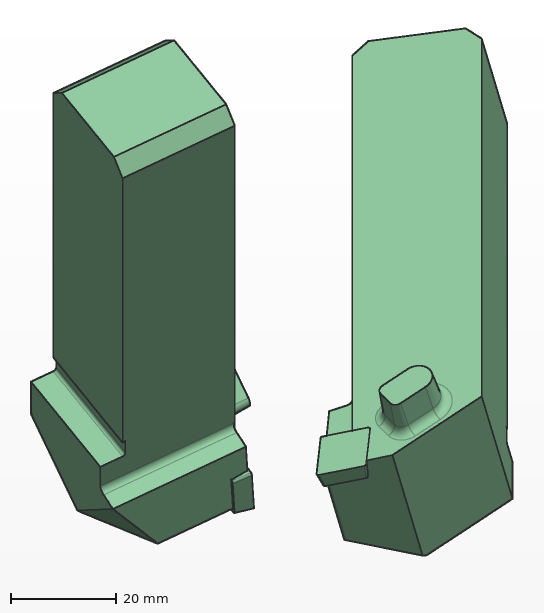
import cadquery as cq
import math


total_height = 108.0
shank_width = 25.0
shank_depth = 25.0
head_depth = 30.0
top_chamfer = 3.1

groove_top = 27.9
groove_bottom = 23.9
groove_depth = 0.6
groove_fillet = 0.6

slope_start_z = 14.5
heel_x = 17.3
heel_z = 2.6
brow_x = 29.6
brow_z = 16.1
brow_slope = 14.0
brow_fillet = 1.5
seat_corner_x = 30.8
seat_corner_z = 1.2
seat_corner_radius = 0.3
bevel_corner_depth = 20.5
overhang_recess = 0.3
bevel_start_x = 16.7

boss_height = 7.6
boss_arc_x = 11.1
boss_arc_z = 14.5
boss_radius = 3.7
boss_length = 7.9
boss_corner_radius = 2.0
boss_taper = 4.5
boss_root_fillet = 1.8

insert_reach = 32.0
insert_inscribed = 9.5
insert_corner_angle = 80.0
insert_thickness = 4.0
insert_clearance = 7.0
insert_nose_radius = 0.4


def make_shank_and_head():
    """Extruded side outline with the front stepped back above the head."""
    brow_root_z = brow_z + (brow_x - shank_width) * math.tan(math.radians(brow_slope))
    outline = [
        (0, slope_start_z),
        (heel_x, heel_z),
        (seat_corner_x, seat_corner_z),
        (brow_x, brow_z),
        (shank_width, brow_root_z),
        (shank_width, total_height),
        (0, total_height),
    ]
    body = cq.Workplane("XZ").polyline(outline).close().extrude(head_depth)
    body = body.edges("|Y and >Z").chamfer(top_chamfer)
    brow_root = (shank_width, -head_depth / 2, brow_root_z)
    body = body.edges(cq.NearestToPointSelector(brow_root)).fillet(brow_fillet)
    seat_corner = (seat_corner_x, -head_depth / 2, seat_corner_z)
    body = body.edges(cq.NearestToPointSelector(seat_corner)).fillet(seat_corner_radius)
    return body.cut(make_front_step())


def make_front_step():
    """Space in front of the shank, including the relief groove, right across X."""
    groove_y = groove_depth - shank_depth
    step = (
        cq.Workplane("YZ")
        .moveTo(-head_depth, groove_bottom)
        .lineTo(groove_y - groove_fillet, groove_bottom)
        .radiusArc((groove_y, groove_bottom + groove_fillet), -groove_fillet)
        .lineTo(groove_y, groove_top)
        .lineTo(-shank_depth, groove_top)
        .lineTo(-shank_depth, total_height)
        .lineTo(-head_depth, total_height)
        .close()
    )
    return step.extrude(shank_width)


def make_front_bevel():
    """Wedge cut from the head front by a plane that runs from its front edge back to the seat corner."""
    underside_slope = (heel_z - slope_start_z) / heel_x
    bevel_start_z = slope_start_z + underside_slope * bevel_start_x
    along_x = brow_x - bevel_start_x
    along_z = brow_z - bevel_start_z
    line_length = math.hypot(along_x, along_z)
    corner_x = seat_corner_x - bevel_start_x
    corner_z = seat_corner_z - bevel_start_z
    bevel_width = (corner_x * along_z - corner_z * along_x) / line_length
    bevel_drop = head_depth - bevel_corner_depth
    section_plane = cq.Plane(
        origin=(bevel_start_x, -head_depth, bevel_start_z),
        xDir=(along_z, 0, -along_x),
        normal=(along_x, 0, along_z),
    )
    overrun = 2
    section_width = overrun * bevel_width
    section = [(0, 0), (section_width, overrun * bevel_drop), (section_width, 0)]
    return cq.Workplane(section_plane).polyline(section).close().extrude(line_length, both=True)


def make_overhang_recess():
    """Shallow step in the back plane over the part of the head beyond the shank."""
    recess_width = insert_reach - shank_width
    recess = cq.Workplane("XY").box(recess_width, overhang_recess, total_height, centered=False)
    return recess.translate((shank_width, -overhang_recess, 0))


def make_boss():
    """Tapered boss, round at one end and blunt at the other, parallel to the sloped underside."""
    slope = (heel_x, 0, heel_z - slope_start_z)
    boss_plane = cq.Plane(origin=(boss_arc_x, 0, boss_arc_z), xDir=slope, normal=(0, 1, 0))
    corner_start = boss_length - boss_corner_radius
    side_end = boss_radius - boss_corner_radius
    outline = (
        cq.Workplane(boss_plane)
        .moveTo(0, boss_radius)
        .threePointArc((-boss_radius, 0), (0, -boss_radius))
        .lineTo(corner_start, -boss_radius)
        .radiusArc((boss_length, -side_end), -boss_corner_radius)
        .lineTo(boss_length, side_end)
        .radiusArc((corner_start, boss_radius), -boss_corner_radius)
        .close()
    )
    return outline.extrude(boss_height, taper=boss_taper)


def make_insert():
    """Rhombic insert with clearance flanks, its rake face in the back plane and rounded corners."""
    half_angle = math.radians(insert_corner_angle / 2)
    half_long = insert_inscribed / 2 / math.sin(half_angle)
    half_short = insert_inscribed / 2 / math.cos(half_angle)
    nose_setback = half_long - insert_nose_radius / math.sin(half_angle)
    centre_shift = nose_setback / math.sqrt(2)
    rake_plane = cq.Plane(
        origin=(
            insert_reach - insert_nose_radius - centre_shift,
            0,
            insert_nose_radius + centre_shift,
        ),
        xDir=(1, 0, -1),
        normal=(0, -1, 0),
    )
    corners = [(half_long, 0), (0, half_short), (-half_long, 0), (0, -half_short)]
    blank = cq.Workplane(rake_plane).polyline(corners).close()
    blank = blank.extrude(insert_thickness, taper=insert_clearance)
    return blank.edges("not #Y").fillet(insert_nose_radius)


def make_holder(insert):
    """Head, shank and boss in one solid, with a pocket that fits the insert."""
    body = make_shank_and_head()
    body = body.cut(make_front_bevel())
    body = body.union(make_boss())
    back_face = body.faces(cq.NearestToPointSelector((shank_width / 2, 0, total_height / 2))).val()
    boss_outline = back_face.innerWires()[0]
    body = body.newObject(boss_outline.Edges()).fillet(boss_root_fillet)
    body = body.cut(make_overhang_recess())
    return body.cut(insert)


insert = make_insert()
holder = make_holder(insert)

result = cq.Compound.makeCompound([holder.solids().val(), insert.solids().val()])